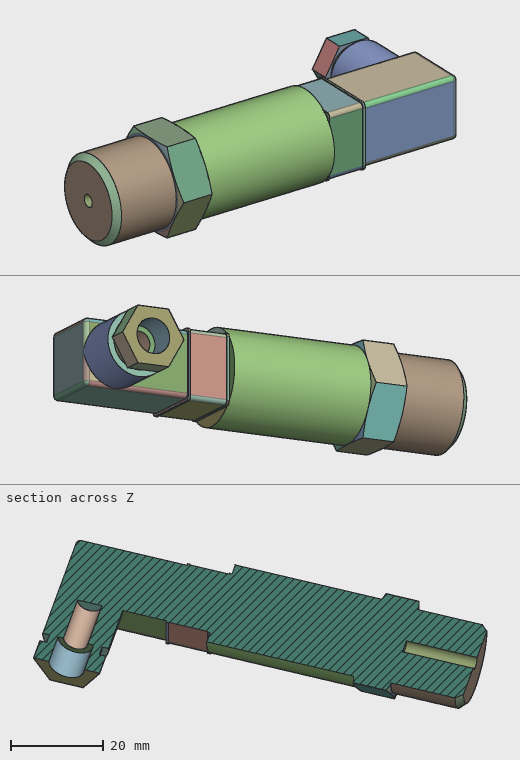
import cadquery as cq
import math

total_length = 92.5
hex_sides = 6

thread_diameter = 21.0
thread_end = 16.0
thread_chamfer = 1.5
barrel_diameter = 22.0
barrel_end = 57.6
hex_height = 8.4
hex_end = thread_end + hex_height
hex_across_flats = barrel_diameter
hex_chamfer_angle = 15.0
port_diameter = 3.0
port_depth = thread_end

socket_width = 16.5
socket_height = 16.0
gasket_start = 67.1
lip_thickness = 0.6
lip_overhang = 0.2
housing_width = 15.9
housing_height = 15.3
edge_radius = 1.0

gland_diameter = 15.0
gland_axis_y = total_length - gland_diameter / 2
gland_start = 18.8
neck_diameter = 12.0
neck_length = 2.0
nut_across_corners = gland_diameter
nut_length = 5.0
nut_start = gland_start + neck_length
gland_tip = nut_start + nut_length
entry_diameter = 8.0
entry_depth = nut_length + neck_length
cable_diameter = 5.5
cable_depth = gland_tip - housing_width / 2


def across_y(start):
    """Workplane at the given Y, centred on the body axis and facing -Y."""
    return cq.Workplane("XZ", origin=(0, start, 0))


def across_x(distance):
    """Workplane normal to X, centred on the gland axis, at the given distance towards -X."""
    return cq.Workplane("YZ", origin=(-distance, gland_axis_y, 0))


def along_y(diameter, start, end):
    """Cylinder on the body axis between two Y positions."""
    return across_y(start).circle(diameter / 2).extrude(start - end)


def along_x(diameter, start, end):
    """Cylinder on the gland axis between two distances towards -X."""
    return across_x(start).circle(diameter / 2).extrude(start - end)


def block(width, height, start, end):
    """Rectangular block along Y with its four long edges rounded."""
    solid = across_y(start).rect(width, height).extrude(start - end)
    return solid.edges("|Y").fillet(edge_radius)


def threaded_end():
    """Plain cylinder with a chamfered free end."""
    return along_y(thread_diameter, 0, thread_end).faces("<Y").chamfer(thread_chamfer)


def body_hex():
    """Hexagon with its corners turned down conically at both ends."""
    across_corners = hex_across_flats / math.cos(math.pi / hex_sides)
    corner_radius = across_corners / 2
    flat_radius = hex_across_flats / 2
    drop = (corner_radius - flat_radius) * math.tan(math.radians(hex_chamfer_angle))
    prism = across_y(thread_end).polygon(hex_sides, across_corners).extrude(-hex_height)
    turned_profile = [
        (0, thread_end),
        (flat_radius, thread_end),
        (corner_radius, thread_end + drop),
        (corner_radius, hex_end - drop),
        (flat_radius, hex_end),
        (0, hex_end),
    ]
    turned = cq.Workplane("XY").polyline(turned_profile).close().revolve(360, (0, 0, 0), (0, 1, 0))
    return prism.intersect(turned)


def lip(start):
    """Thin flange standing slightly proud of the socket."""
    return block(
        socket_width + 2 * lip_overhang,
        socket_height + 2 * lip_overhang,
        start,
        start + lip_thickness,
    )


def connector():
    """Socket between a base lip and a gasket lip, with the rounded housing on top."""
    socket = block(socket_width, socket_height, barrel_end, gasket_start)
    housing = across_y(gasket_start).rect(housing_width, housing_height).extrude(gasket_start - total_length)
    housing = housing.edges("|Y or >Y").fillet(edge_radius)
    return socket.union(lip(barrel_end)).union(lip(gasket_start)).union(housing)


def cable_gland():
    """Sleeve, narrower neck and hexagonal nut, reaching out from the housing."""
    sleeve = along_x(gland_diameter, 0, gland_start)
    neck = along_x(neck_diameter, gland_start, nut_start)
    nut = across_x(nut_start).polygon(hex_sides, nut_across_corners).extrude(-nut_length)
    return sleeve.union(neck).union(nut)


body = threaded_end().union(body_hex())
body = body.union(along_y(barrel_diameter, hex_end, barrel_end))
body = body.union(connector()).union(cable_gland())

port = along_y(port_diameter, 0, port_depth)
entry = along_x(entry_diameter, gland_tip, gland_tip - entry_depth)
cable_bore = along_x(cable_diameter, gland_tip, gland_tip - cable_depth)

result = body.cut(port).cut(entry).cut(cable_bore)